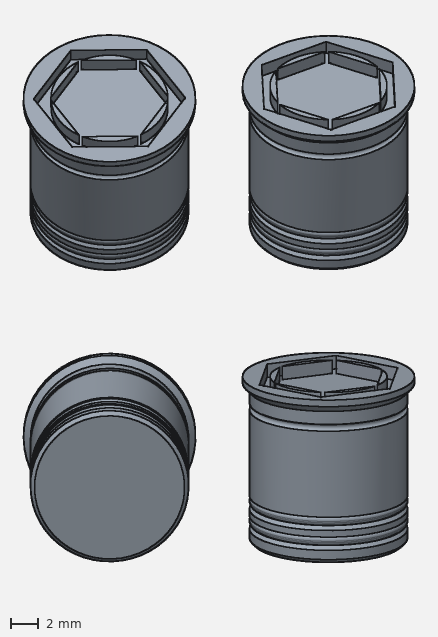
import cadquery as cq
import math

height = 12.5
flange_radius = 6.25
body_radius = 5.75
flange_rim = 0.5
flange_taper = flange_radius - body_radius
bottom_chamfer = 0.3

round_groove_radius = 0.25
round_groove_depth = 0.3
round_groove_z = 10.25

seal_groove_bottoms = [1.0, 2.5]
groove_lead_in = 0.3
ring_height = 0.7
ring_thickness = 0.7
ring_corner_radius = 0.3
ring_inner_radius = body_radius - ring_thickness

recess_depth = 1.0
recess_across_corners = 11.0
island_circle_diameter = 8.5
island_across_flats = 7.5
island_across_corners = island_across_flats / math.cos(math.pi / 6)
hexagon_turn = 30.0


def revolve_about_z(profile):
    """Turn a closed profile drawn as (radius, z) about the Z axis."""
    return profile.close().revolve(360, (0, 0, 0), (0, 1, 0))


def make_hexagon(across_corners):
    """Hexagonal prism filling the depth of the drive recess."""
    prism = cq.Workplane("XY").polygon(6, across_corners).extrude(recess_depth)
    turned = prism.rotate((0, 0, 0), (0, 0, 1), hexagon_turn)
    return turned.translate((0, 0, height - recess_depth))


def make_blank():
    """Flanged cylinder with the round groove and bottom chamfer."""
    arc_start_radius = body_radius - round_groove_depth + round_groove_radius
    rim_bottom = height - flange_rim
    profile = (
        cq.Workplane("XZ")
        .lineTo(body_radius - bottom_chamfer, 0)
        .lineTo(body_radius, bottom_chamfer)
        .lineTo(body_radius, round_groove_z - round_groove_radius)
        .lineTo(arc_start_radius, round_groove_z - round_groove_radius)
        .threePointArc(
            (body_radius - round_groove_depth, round_groove_z),
            (arc_start_radius, round_groove_z + round_groove_radius),
        )
        .lineTo(body_radius, round_groove_z + round_groove_radius)
        .lineTo(body_radius, rim_bottom - flange_taper)
        .lineTo(flange_radius, rim_bottom)
        .lineTo(flange_radius, height)
        .lineTo(0, height)
    )
    return revolve_about_z(profile)


def make_seal_groove(bottom):
    """Cutter for a groove with a 45 degree lead-in below its ring."""
    ring_bottom = bottom + groove_lead_in
    ring_top = ring_bottom + ring_height
    profile = (
        cq.Workplane("XZ")
        .moveTo(body_radius, bottom)
        .lineTo(body_radius - groove_lead_in, ring_bottom)
        .lineTo(ring_inner_radius, ring_bottom)
        .lineTo(ring_inner_radius, ring_top)
        .lineTo(body_radius, ring_top)
    )
    return revolve_about_z(profile)


def make_drive_recess():
    """Cutter for the hexagonal recess, leaving six slivers standing around a smaller hexagon."""
    disc = (
        cq.Workplane("XY", origin=(0, 0, height - recess_depth))
        .circle(island_circle_diameter / 2)
        .extrude(recess_depth)
    )
    islands = disc.cut(make_hexagon(island_across_corners))
    return make_hexagon(recess_across_corners).cut(islands)


def make_plug():
    """Flanged plug with its drive recess and seal grooves."""
    plug = make_blank().cut(make_drive_recess())
    for bottom in seal_groove_bottoms:
        plug = plug.cut(make_seal_groove(bottom))
    return plug


def make_seal_ring(bottom):
    """Seal ring with rounded outer edges, seated in the groove that starts at this height."""
    ring_bottom = bottom + groove_lead_in
    ring = (
        cq.Workplane("XY", origin=(0, 0, ring_bottom))
        .circle(body_radius)
        .circle(ring_inner_radius)
        .extrude(ring_height)
    )
    outer_edges = cq.selectors.RadiusNthSelector(-1)
    return ring.edges("%CIRCLE").edges(outer_edges).fillet(ring_corner_radius)


plug = make_plug()
seal_rings = [make_seal_ring(bottom) for bottom in seal_groove_bottoms]

result = cq.Compound.makeCompound([plug.solids().val(), *[ring.solids().val() for ring in seal_rings]])